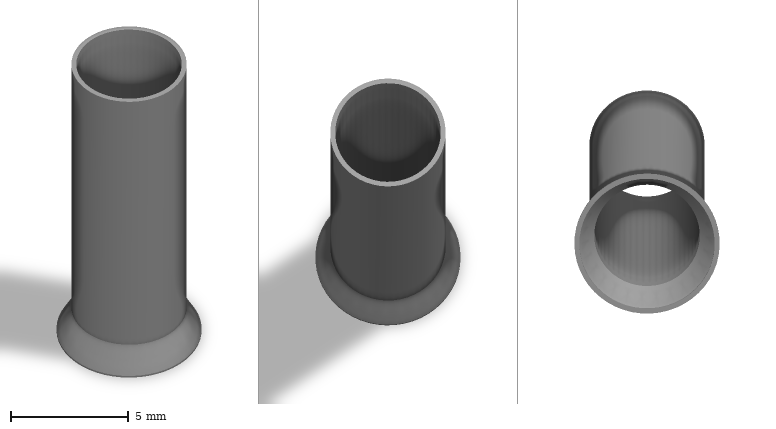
import cadquery as cq

length = 15.0
tube_diameter = 4.92
bore_diameter = 4.5
flare_diameter = 6.2
flare_height = 1.3
rim_height = 0.09

tube_radius = tube_diameter / 2
bore_radius = bore_diameter / 2
flare_radius = flare_diameter / 2
wall = tube_radius - bore_radius
mouth_radius = flare_radius - wall

half_section = (
    cq.Workplane("XZ")
    .moveTo(mouth_radius, 0)
    .lineTo(flare_radius, 0)
    .lineTo(flare_radius, rim_height)
    .lineTo(tube_radius, flare_height)
    .lineTo(tube_radius, length)
    .lineTo(bore_radius, length)
    .lineTo(bore_radius, flare_height)
    .lineTo(mouth_radius, rim_height)
    .close()
)

result = half_section.revolve(360, (0, 0, 0), (0, 1, 0))